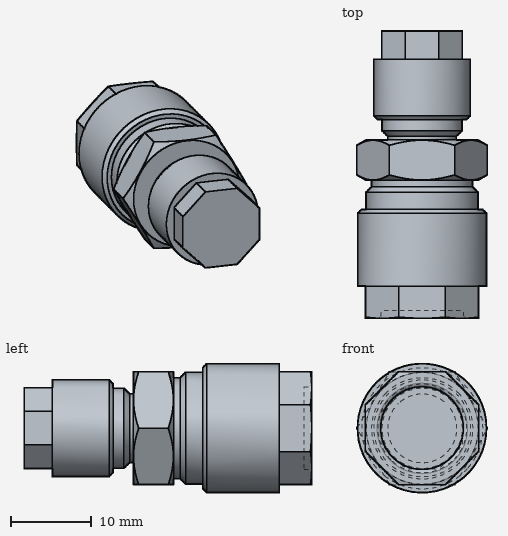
import cadquery as cq
import math

total_length = 35.6

octagon_sides = 8
hexagon_sides = 6

large_octagon_flats = 14.0
large_octagon_end = 4.0
large_octagon_face_radius = 6.93
large_octagon_bevel_angle = 15.0
large_collar_radius = 8.0
large_collar_end = 13.5
collar_chamfer = 0.5

large_neck_radius = 6.95
large_neck_end = 15.6
large_groove_radius = 6.27
neck_taper_length = 0.7
hexagon_start = 17.1
hexagon_flats = 14.0
hexagon_length = 5.0
hexagon_face_radius = 6.93
hexagon_bevel_angle = 30.0
small_groove_radius = 4.27
small_groove_length = 0.45
small_neck_radius = 4.97

small_octagon_flats = 10.0
small_octagon_length = 3.5
small_collar_radius = 6.0
small_collar_length = 7.5

recess_radius = 5.12
recess_depth = 1.0
recess_edge_round = 0.48

hexagon_end = hexagon_start + hexagon_length
small_taper_start = hexagon_end + small_groove_length
small_taper_end = small_taper_start + neck_taper_length
small_collar_end = total_length - small_octagon_length
small_collar_start = small_collar_end - small_collar_length


def revolve_about_y(profile):
    """Turn a closed list of (radius, y) points about the Y axis."""
    return cq.Workplane("XY").polyline(profile).close().revolve(360, (0, 0), (0, 1))


def polygon_corner_radius(sides, across_flats):
    return across_flats / 2 / math.cos(math.pi / sides)


def prism(sides, across_flats, start, end):
    """Regular prism along Y with flats facing +Z and -Z."""
    corner_radius = polygon_corner_radius(sides, across_flats)
    corners = []
    for i in range(sides):
        angle = math.pi / 2 + (2 * i + 1) * math.pi / sides
        corners.append((corner_radius * math.cos(angle), corner_radius * math.sin(angle)))
    plane = cq.Plane(origin=(0, start, 0), xDir=(-1, 0, 0), normal=(0, 1, 0))
    return cq.Workplane(plane).polyline(corners).close().extrude(end - start)


def bevel_height(sides, across_flats, face_radius, angle):
    """Axial height of a conical bevel, measured at the prism corners."""
    run = polygon_corner_radius(sides, across_flats) - face_radius
    return run * math.tan(math.radians(angle))


def make_turned_core():
    """Collars, necks and grooves of the whole fitting as one turned profile."""
    return revolve_about_y([
        (0, large_octagon_end),
        (large_collar_radius, large_octagon_end),
        (large_collar_radius, large_collar_end - collar_chamfer),
        (large_collar_radius - collar_chamfer, large_collar_end),
        (large_neck_radius, large_collar_end),
        (large_neck_radius, large_neck_end),
        (large_groove_radius, large_neck_end + neck_taper_length),
        (large_groove_radius, hexagon_end),
        (small_groove_radius, hexagon_end),
        (small_groove_radius, small_taper_start),
        (small_neck_radius, small_taper_end),
        (small_neck_radius, small_collar_start),
        (small_collar_radius - collar_chamfer, small_collar_start),
        (small_collar_radius, small_collar_start + collar_chamfer),
        (small_collar_radius, small_collar_end),
        (0, small_collar_end),
    ])


def make_hexagon():
    """Wrench hexagon with its corners bevelled at both ends."""
    corner = polygon_corner_radius(hexagon_sides, hexagon_flats)
    bevel = bevel_height(
        hexagon_sides, hexagon_flats, hexagon_face_radius, hexagon_bevel_angle
    )
    envelope = revolve_about_y([
        (0, hexagon_start),
        (hexagon_face_radius, hexagon_start),
        (corner, hexagon_start + bevel),
        (corner, hexagon_end - bevel),
        (hexagon_face_radius, hexagon_end),
        (0, hexagon_end),
    ])
    return prism(hexagon_sides, hexagon_flats, hexagon_start, hexagon_end).intersect(envelope)


def make_large_octagon():
    """Octagon at the large end, bevelled on its outer face."""
    corner = polygon_corner_radius(octagon_sides, large_octagon_flats)
    bevel = bevel_height(
        octagon_sides, large_octagon_flats, large_octagon_face_radius, large_octagon_bevel_angle
    )
    envelope = revolve_about_y([
        (0, 0),
        (large_octagon_face_radius, 0),
        (corner, bevel),
        (corner, large_octagon_end),
        (0, large_octagon_end),
    ])
    return prism(octagon_sides, large_octagon_flats, 0, large_octagon_end).intersect(envelope)


def make_recess():
    """Shallow round recess whose mouth flares out with a rounded edge."""
    arc_reach = recess_edge_round * math.sqrt(0.5)
    mouth_radius = recess_radius + recess_edge_round
    return (
        cq.Workplane("XY")
        .moveTo(0, 0)
        .lineTo(mouth_radius, 0)
        .threePointArc(
            (mouth_radius - arc_reach, recess_edge_round - arc_reach),
            (recess_radius, recess_edge_round),
        )
        .lineTo(recess_radius, recess_depth)
        .lineTo(0, recess_depth)
        .close()
        .revolve(360, (0, 0), (0, 1))
    )


small_octagon = prism(octagon_sides, small_octagon_flats, small_collar_end, total_length)

result = (
    make_turned_core()
    .union(make_hexagon())
    .union(make_large_octagon())
    .union(small_octagon)
    .cut(make_recess())
)